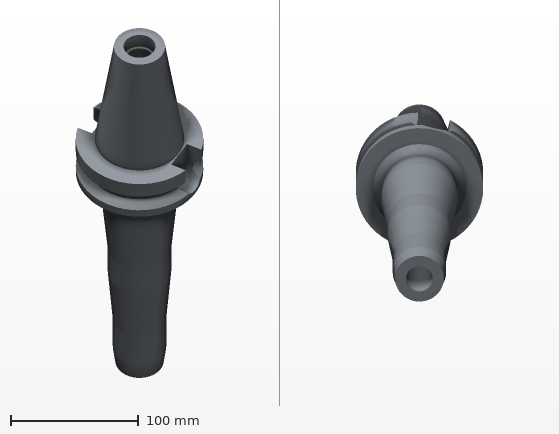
import cadquery as cq
import math


gauge_diameter = 69.85
taper_length = 101.8
taper_ratio = 7 / 24
taper_top_diameter = gauge_diameter - taper_ratio * taper_length

flange_diameter = 100.0
flange_top_z = -1.5
flange_bottom_z = -38.0
groove_diameter = 85.0
groove_top_z = -15.2
groove_bottom_z = -30.8
groove_flank_angle = 32.0
groove_depth = (flange_diameter - groove_diameter) / 2
groove_flank_height = groove_depth * math.tan(math.radians(groove_flank_angle))

neck_cone_height = 6.7
upper_neck_diameter = 60.0
upper_neck_bottom_z = -65.0
middle_neck_diameter = 50.0
middle_neck_top_z = -122.0
middle_neck_bottom_z = -148.0
lower_neck_diameter = 42.0
lower_neck_top_z = -202.0
lower_neck_bottom_z = -234.0
nose_diameter = 38.0
nose_z = -250.0

slot_width = 25.7
slot_floor_x = 35.4
slot_bottom_z = -34.3

bore_diameter = 21.0
counterbore_diameter = 25.0
counterbore_depth = 13.0


def make_body():
    """Solid of revolution, from its half outline on the -Y side of the axis."""
    diameter_and_z = [
        (0, taper_length),
        (taper_top_diameter, taper_length),
        (gauge_diameter, 0),
        (gauge_diameter, flange_top_z),
        (flange_diameter, flange_top_z),
        (flange_diameter, groove_top_z),
        (groove_diameter, groove_top_z - groove_flank_height),
        (groove_diameter, groove_bottom_z + groove_flank_height),
        (flange_diameter, groove_bottom_z),
        (flange_diameter, flange_bottom_z),
        (upper_neck_diameter + 2 * neck_cone_height, flange_bottom_z),
        (upper_neck_diameter, flange_bottom_z - neck_cone_height),
        (upper_neck_diameter, upper_neck_bottom_z),
        (middle_neck_diameter, middle_neck_top_z),
        (middle_neck_diameter, middle_neck_bottom_z),
        (lower_neck_diameter, lower_neck_top_z),
        (lower_neck_diameter, lower_neck_bottom_z),
        (nose_diameter, nose_z),
        (0, nose_z),
    ]
    points = [(-diameter / 2, z) for diameter, z in diameter_and_z]
    return cq.Workplane("YZ").polyline(points).close().revolve(360, (0, 0, 0), (0, 1, 0))


def make_slot(side):
    """Cutter for the round-bottomed drive slot on the +X (1) or -X (-1) side."""
    half_width = slot_width / 2
    arc_center_z = slot_bottom_z + half_width
    return (
        cq.Workplane("YZ", origin=(side * slot_floor_x, 0, 0))
        .moveTo(-half_width, 0)
        .lineTo(-half_width, arc_center_z)
        .threePointArc((0, slot_bottom_z), (half_width, arc_center_z))
        .lineTo(half_width, 0)
        .close()
        .extrude(side * flange_diameter / 2)
    )


def make_bore():
    """Cutter for the through bore and the counterbore in the taper end."""
    bore = (
        cq.Workplane("XY", origin=(0, 0, nose_z))
        .circle(bore_diameter / 2)
        .extrude(taper_length - nose_z)
    )
    counterbore = (
        cq.Workplane("XY", origin=(0, 0, taper_length))
        .circle(counterbore_diameter / 2)
        .extrude(-counterbore_depth)
    )
    return bore.union(counterbore)


result = make_body().cut(make_bore())
for side in (-1, 1):
    result = result.cut(make_slot(side))